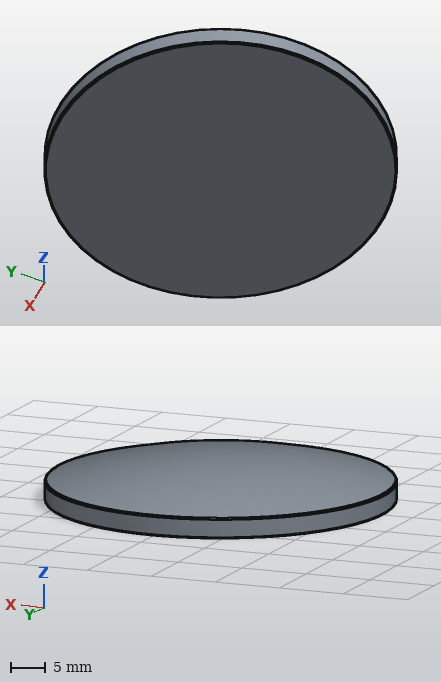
import cadquery as cq
import math

diameter = 50.8
center_thickness = 6.6
edge_thickness = 3.0
bevel = 0.2

radius = diameter / 2
dome_rise = center_thickness - edge_thickness
sphere_radius = (radius**2 + dome_rise**2) / (2 * dome_rise)
sphere_center_height = center_thickness - sphere_radius

mid_radius = radius / 2
mid_height = sphere_center_height + math.sqrt(sphere_radius**2 - mid_radius**2)

half_section = (
    cq.Workplane("XZ")
    .lineTo(radius, 0)
    .lineTo(radius, edge_thickness)
    .threePointArc((mid_radius, mid_height), (0, center_thickness))
    .close()
)
lens = half_section.revolve(360, (0, 0, 0), (0, 1, 0))

rim_face_edges = lens.faces("%CYLINDER").edges("%CIRCLE")
result = rim_face_edges.chamfer(bevel)